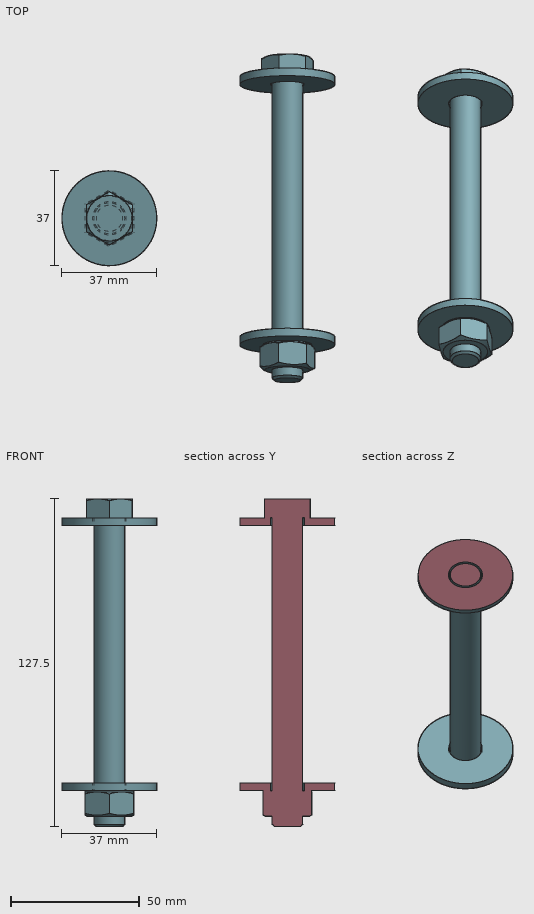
import cadquery as cq
import math

total_length = 127.5
shank_diameter = 12.0
tip_chamfer = 0.9

washer_diameter = 37.0
washer_hole_diameter = 13.0
washer_thickness = 3.0
clamped_length = 100.0

head_across_flats = 18.0
head_height = 7.4
head_face_diameter = 17.7
head_chamfer_height = 0.8

nut_across_flats = 19.0
nut_height = 10.0
nut_bearing_height = 0.5
nut_top_chamfer_height = 0.8
nut_bottom_diameter = 17.3
nut_bottom_chamfer_height = 1.1

head_base = total_length - head_height
upper_washer_base = head_base - washer_thickness
lower_washer_base = upper_washer_base - clamped_length - washer_thickness
nut_base = lower_washer_base - nut_height


def across_corners(across_flats):
    return across_flats / math.cos(math.pi / 6)


def cylinder(diameter, base, height):
    return cq.Workplane("XY").workplane(offset=base).circle(diameter / 2).extrude(height)


def hexagon(across_flats, base, height):
    """Hexagonal prism with corners on the Y axis and flats facing X."""
    return (
        cq.Workplane("XY")
        .workplane(offset=base)
        .transformed(rotate=(0, 0, 90))
        .polygon(6, across_corners(across_flats))
        .extrude(height)
    )


def revolve_profile(points):
    """Turn a closed (radius, height) outline about the Z axis."""
    return cq.Workplane("XZ").polyline(points).close().revolve(360, (0, 0), (0, 1))


def make_head():
    corner_radius = across_corners(head_across_flats) / 2
    envelope = revolve_profile([
        (0, head_base),
        (corner_radius, head_base),
        (corner_radius, total_length - head_chamfer_height),
        (head_face_diameter / 2, total_length),
        (0, total_length),
    ])
    return hexagon(head_across_flats, head_base, head_height).intersect(envelope)


def make_nut():
    corner_radius = across_corners(nut_across_flats) / 2
    bearing_radius = nut_across_flats / 2
    hex_top = lower_washer_base - nut_bearing_height
    envelope = revolve_profile([
        (0, nut_base),
        (nut_bottom_diameter / 2, nut_base),
        (corner_radius, nut_base + nut_bottom_chamfer_height),
        (corner_radius, hex_top - nut_top_chamfer_height),
        (bearing_radius, hex_top),
        (bearing_radius, lower_washer_base),
        (0, lower_washer_base),
    ])
    return hexagon(nut_across_flats, nut_base, nut_height).intersect(envelope)


def make_washer(base):
    hole = cylinder(washer_hole_diameter, base, washer_thickness)
    return cylinder(washer_diameter, base, washer_thickness).cut(hole)


def make_shank():
    return cylinder(shank_diameter, 0, head_base).faces("<Z").chamfer(tip_chamfer)


result = make_shank().union(make_head()).union(make_nut())
for washer_base in (upper_washer_base, lower_washer_base):
    result = result.union(make_washer(washer_base))